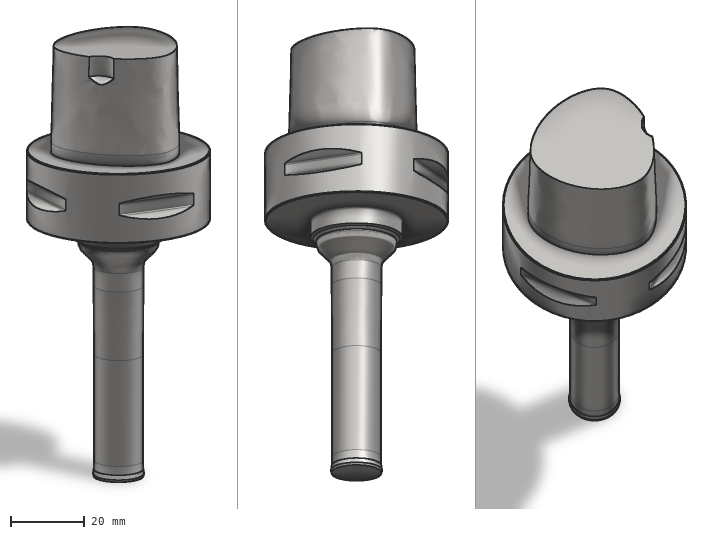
import cadquery as cq
import math

SHANK_LENGTH = 30.0
SHANK_WIDTH = 35.0
LOBE_ECCENTRICITY = 1.12
STRAIGHT_LENGTH = 3.0
TAPER_RATIO = 1 / 20
SHANK_TOP_WIDTH = SHANK_WIDTH - TAPER_RATIO * (SHANK_LENGTH - STRAIGHT_LENGTH)

NOTCH_RADIUS = 4.5
NOTCH_AXIS_Y = -18.3
NOTCH_DEPTH = 5.6
NOTCH_POINT_ANGLE = 96.0

FLANGE_RADIUS = 50.0 / 2
FLANGE_THICKNESS = 19.7
FLANGE_CHAMFER = 0.3
SLOT_COUNT = 4
SLOT_FLOOR_DISTANCE = 22.2
SLOT_LENGTH = 22.9
SLOT_FLOOR_HEIGHT = 3.3
SLOT_SIDE_ANGLE = 30.0
SLOT_CORNER_ROUND = 0.5
SLOT_Z = -10.0

COLLAR_RADIUS = 25.0 / 2
COLLAR_ROOT_ROUND = 0.3
COLLAR_BOTTOM_Z = -24.4
BEVEL_INNER_RADIUS = 11.8
BEVEL_BOTTOM_Z = -24.75

NECK_RADIUS = 22.0 / 2
NECK_TOP_Z = BEVEL_BOTTOM_Z - (BEVEL_INNER_RADIUS - NECK_RADIUS)
NECK_LAND = 0.35
NECK_FLARE_TOP_Z = NECK_TOP_Z - NECK_LAND
NECK_CONE_TOP = (10.0, -28.3)
NECK_CONE_DROP = 2.4

UPPER_STEM_RADIUS = 13.73 / 2
LOWER_STEM_RADIUS = 13.4 / 2
STEM_TOP_Z = -33.0
STEM_TAPER_TOP_Z = -38.2
STEM_TAPER_BOTTOM_Z = -57.6

END_FLARE_TOP_Z = -87.5
STEM_END_Z = -90.0
STEM_END_RADIUS = 13.6 / 2

TIP_RIM_Z = -91.3
TIP_RIM_RADIUS = 14.0 / 2
TIP_END_Z = -92.0
TIP_END_RADIUS = 6.8


def polygon_wire(width, z):
    """Closed wire of the three-lobed section, one lobe pointing to +Y."""
    def point(t):
        e = LOBE_ECCENTRICITY
        lobe = width / 2 * math.cos(t) + e * (2 * math.cos(2 * t) - math.cos(4 * t))
        side = width / 2 * math.sin(t) - e * (2 * math.sin(2 * t) + math.sin(4 * t))
        return (-side, lobe, z)

    return cq.Workplane("XY").parametricCurve(point, N=72, start=0, stop=2 * math.pi).val()


def make_shank():
    base = polygon_wire(SHANK_WIDTH, 0)
    straight = cq.Solid.extrudeLinear(base, [], cq.Vector(0, 0, STRAIGHT_LENGTH))
    taper = cq.Solid.makeLoft(
        [polygon_wire(SHANK_WIDTH, STRAIGHT_LENGTH), polygon_wire(SHANK_TOP_WIDTH, SHANK_LENGTH)]
    )
    return cq.Workplane(straight).union(cq.Workplane(taper))


def make_notch_cutter():
    """Vertical drilled hole with a conical point, open at the top of the shank."""
    shoulder_z = SHANK_LENGTH - NOTCH_DEPTH
    point_length = NOTCH_RADIUS / math.tan(math.radians(NOTCH_POINT_ANGLE / 2))
    profile = (
        cq.Workplane("XZ")
        .moveTo(0, SHANK_LENGTH)
        .lineTo(NOTCH_RADIUS, SHANK_LENGTH)
        .lineTo(NOTCH_RADIUS, shoulder_z)
        .lineTo(0, shoulder_z - point_length)
        .close()
    )
    return profile.revolve(360, (0, 0, 0), (0, 1, 0)).translate((0, NOTCH_AXIS_Y, 0))


def make_slot_cutter(angle):
    """Gripper slot with a flat floor, rounded floor corners and flared upper and lower sides."""
    depth = FLANGE_RADIUS - SLOT_FLOOR_DISTANCE
    floor_half = SLOT_FLOOR_HEIGHT / 2
    mouth_half = floor_half + depth * math.tan(math.radians(SLOT_SIDE_ANGLE))
    section = [
        (SLOT_FLOOR_DISTANCE, SLOT_Z - floor_half),
        (FLANGE_RADIUS, SLOT_Z - mouth_half),
        (FLANGE_RADIUS, SLOT_Z + mouth_half),
        (SLOT_FLOOR_DISTANCE, SLOT_Z + floor_half),
    ]
    slot = cq.Workplane("XZ").polyline(section).close().extrude(SLOT_LENGTH / 2, both=True)
    slot = slot.faces("<X").edges("|Y").fillet(SLOT_CORNER_ROUND)
    return slot.rotate((0, 0, 0), (0, 0, 1), angle)


def make_flange():
    flange = cq.Workplane("XY").circle(FLANGE_RADIUS).extrude(-FLANGE_THICKNESS)
    flange = flange.edges().chamfer(FLANGE_CHAMFER)
    for i in range(SLOT_COUNT):
        flange = flange.cut(make_slot_cutter((i + 0.5) * 360 / SLOT_COUNT))
    return flange


def make_stem():
    """Collar, neck and stem, turned below the flange."""
    root_z = -FLANGE_THICKNESS
    arc_offset = COLLAR_ROOT_ROUND * (1 - math.sqrt(0.5))
    cone_top_r, cone_top_z = NECK_CONE_TOP
    cone_bottom = (cone_top_r - NECK_CONE_DROP, cone_top_z - NECK_CONE_DROP)
    profile = (
        cq.Workplane("XZ")
        .moveTo(0, root_z)
        .lineTo(COLLAR_RADIUS + COLLAR_ROOT_ROUND, root_z)
        .threePointArc(
            (COLLAR_RADIUS + arc_offset, root_z - arc_offset),
            (COLLAR_RADIUS, root_z - COLLAR_ROOT_ROUND),
        )
        .lineTo(COLLAR_RADIUS, COLLAR_BOTTOM_Z)
        .lineTo(BEVEL_INNER_RADIUS, BEVEL_BOTTOM_Z)
        .lineTo(NECK_RADIUS, NECK_TOP_Z)
        .lineTo(NECK_RADIUS, NECK_FLARE_TOP_Z)
        .spline(
            [NECK_CONE_TOP, cone_bottom, (UPPER_STEM_RADIUS, STEM_TOP_Z)],
            tangents=[(0, -1), (0, -1)],
            includeCurrent=True,
        )
        .lineTo(UPPER_STEM_RADIUS, STEM_TAPER_TOP_Z)
        .lineTo(LOWER_STEM_RADIUS, STEM_TAPER_BOTTOM_Z)
        .lineTo(LOWER_STEM_RADIUS, END_FLARE_TOP_Z)
        .lineTo(STEM_END_RADIUS, STEM_END_Z)
        .lineTo(0, STEM_END_Z)
        .close()
    )
    return profile.revolve(360, (0, 0, 0), (0, 1, 0))


def make_holder():
    """Polygon shank, flange and stem as one body."""
    shank = make_shank().cut(make_notch_cutter())
    return shank.union(make_flange()).union(make_stem())


def make_tip():
    """Cutting tip seated on the flat lower end of the stem."""
    profile = (
        cq.Workplane("XZ")
        .moveTo(0, STEM_END_Z)
        .lineTo(STEM_END_RADIUS, STEM_END_Z)
        .lineTo(TIP_RIM_RADIUS, TIP_RIM_Z)
        .lineTo(TIP_END_RADIUS, TIP_END_Z)
        .lineTo(0, TIP_END_Z)
        .close()
    )
    return profile.revolve(360, (0, 0, 0), (0, 1, 0))


holder = make_holder()
tip = make_tip()

result = cq.Compound.makeCompound([holder.val(), tip.val()])